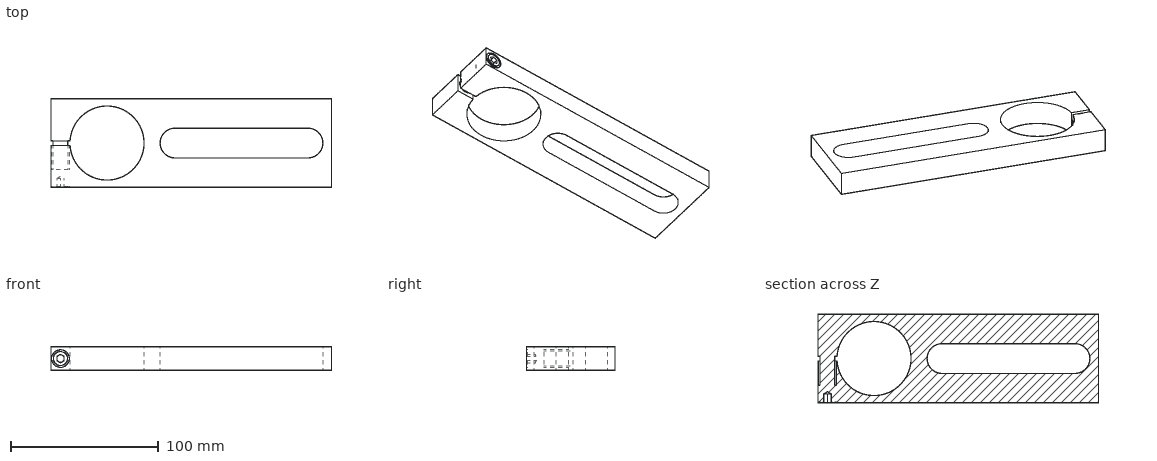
import cadquery as cq
import math

plate_length = 190.0
plate_width = 60.0
plate_thickness = 16.0

bore_diameter = 50.0
bore_center_x = 38.0
clamp_gap = 3.0

slot_width = 20.0
slot_length = 110.0
slot_end_margin = 6.0
slot_center_x = plate_length - slot_end_margin - slot_length / 2

screw_x = 6.5
head_diameter = 12.0
head_length = 12.0
head_face_diameter = 9.4
head_chamfer_length = 0.6
shank_diameter = 10.2

socket_sides = 6
socket_across_flats = 5.0
socket_depth = 6.0
socket_cone_angle = 120.0
corner_angle = 90.0

front_face_y = -plate_width / 2
gap_front_y = -clamp_gap / 2
gap_back_y = clamp_gap / 2
head_seat_y = front_face_y + head_length


def rod_along_y(radius, start_y, end_y):
    """Cylinder on the screw axis between two Y positions."""
    start = cq.Vector(screw_x, start_y, 0)
    return cq.Workplane(cq.Solid.makeCylinder(radius, end_y - start_y, start, cq.Vector(0, 1, 0)))


def cone_along_y(start_radius, end_radius, start_y, length):
    """Cone on the screw axis, running toward +Y."""
    start = cq.Vector(screw_x, start_y, 0)
    return cq.Workplane(cq.Solid.makeCone(start_radius, end_radius, length, start, cq.Vector(0, 1, 0)))


def make_plate():
    """Plate with the clamping bore, adjustment slot and clamp gap."""
    plate = cq.Workplane("XY").box(plate_length, plate_width, plate_thickness, centered=(False, True, True))
    bore = cq.Workplane("XY").center(bore_center_x, 0).circle(bore_diameter / 2)
    gap = cq.Workplane("XY").box(bore_center_x, clamp_gap, plate_thickness, centered=(False, True, True))
    slot = cq.Workplane("XY").center(slot_center_x, 0).slot2D(slot_length, slot_width)
    plate = plate.cut(bore.extrude(plate_thickness, both=True))
    plate = plate.cut(slot.extrude(plate_thickness, both=True))
    return plate.cut(gap)


def make_socket():
    """Hexagon socket, one corner up, ending in a cone that touches its flats."""
    across_corners = socket_across_flats / math.cos(math.pi / socket_sides)
    cone_depth = socket_across_flats / 2 / math.tan(math.radians(socket_cone_angle / 2))
    hexagon = (
        cq.Workplane("XZ", origin=(screw_x, front_face_y, 0))
        .transformed(rotate=(0, 0, corner_angle))
        .polygon(socket_sides, across_corners)
        .extrude(-socket_depth)
    )
    cone = cone_along_y(socket_across_flats / 2, 0, front_face_y + socket_depth, cone_depth)
    return hexagon.union(cone)


def make_screw():
    """Screw with a chamfered head and a shank that bridges the gap to the far jaw."""
    chamfer_end_y = front_face_y + head_chamfer_length
    chamfer = cone_along_y(head_face_diameter / 2, head_diameter / 2, front_face_y, head_chamfer_length)
    head = rod_along_y(head_diameter / 2, chamfer_end_y, head_seat_y)
    shank = rod_along_y(shank_diameter / 2, head_seat_y, gap_back_y)
    return chamfer.union(head).union(shank).cut(make_socket())


clearance_hole = rod_along_y(head_diameter / 2, front_face_y, gap_front_y)
result = make_plate().cut(clearance_hole).union(make_screw())